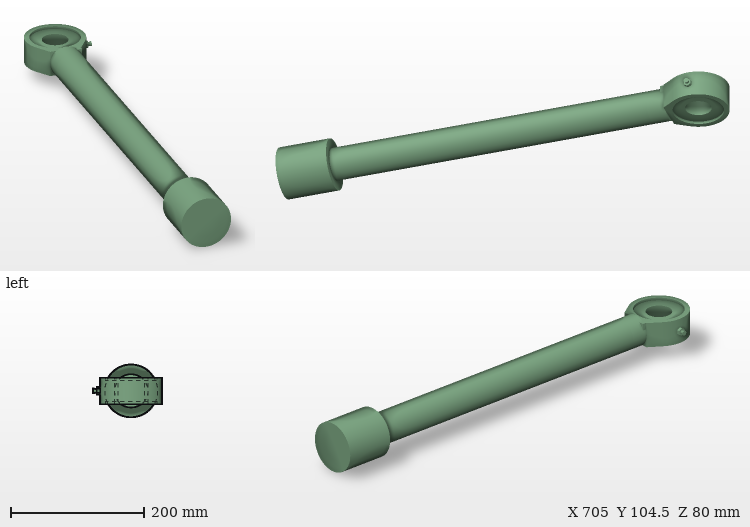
import cadquery as cq
import math

total_length = 705.0
eye_diameter = 94.0
eye_radius = eye_diameter / 2
eye_thickness = 40.0
bore_diameter = 40.0
recess_diameter = 77.5
recess_depth = 4.0

rod_diameter = 50.0
rod_radius = rod_diameter / 2
stub_start = eye_radius
stub_length = 27.5
stub_end = stub_start + stub_length

collar_diameter = 80.0
collar_length = 80.5
rod_end = total_length - eye_radius
rod_length = rod_end - stub_end

nipple_height = 10.5
nipple_embed = 2.0
nipple_hex_height = 5.0
nipple_hex_flats = 10.5
hex_half_angle = 30
nipple_neck_diameter = 5.5
nipple_tip_diameter = 8.0

tab_length = 6.0
tab_inner_y = 15.5
tab_outer_y = 23.0
tab_top = eye_thickness / 2



def x_cylinder(start, length, diameter):
    """Cylinder along the rod axis."""
    return cq.Workplane("YZ").workplane(offset=start).circle(diameter / 2).extrude(length)


def make_eye_plate():
    """Round eye with flanks running tangentially to the corners of its flat back face."""
    corner_angle = math.atan2(rod_radius, stub_start)
    corner_distance = math.hypot(stub_start, rod_radius)
    tangent_angle = corner_angle + math.acos(eye_radius / corner_distance)
    tangent_x = eye_radius * math.cos(tangent_angle)
    tangent_y = eye_radius * math.sin(tangent_angle)
    return (
        cq.Workplane("XY")
        .workplane(offset=-eye_thickness / 2)
        .moveTo(stub_start, -rod_radius)
        .lineTo(stub_start, rod_radius)
        .lineTo(tangent_x, tangent_y)
        .threePointArc((-eye_radius, 0), (tangent_x, -tangent_y))
        .close()
        .extrude(eye_thickness)
    )


def cut_eye_openings(eye):
    """Through bore with a shallow round recess in both faces."""
    bore = cq.Workplane("XY").circle(bore_diameter / 2).extrude(eye_thickness, both=True)
    eye = eye.cut(bore)
    for side in (-1, 1):
        floor = side * (eye_thickness / 2 - recess_depth)
        recess = (
            cq.Workplane("XY")
            .workplane(offset=floor)
            .circle(recess_diameter / 2)
            .extrude(side * recess_depth)
        )
        eye = eye.cut(recess)
    return eye


def make_nipple():
    """Hexagonal base with two flats facing along X, and a tip that widens outward along +Y."""
    hex_corners = nipple_hex_flats / math.cos(math.radians(hex_half_angle))
    root_y = eye_radius - nipple_embed
    base = (
        cq.Workplane("XZ", origin=(0, root_y, 0))
        .transformed(rotate=(0, 0, hex_half_angle))
        .polygon(6, hex_corners)
        .extrude(-(nipple_embed + nipple_hex_height))
    )
    tip_height = nipple_height - nipple_hex_height
    tip = cq.Workplane(
        cq.Solid.makeCone(
            nipple_neck_diameter / 2,
            nipple_tip_diameter / 2,
            tip_height,
            pnt=cq.Vector(0, eye_radius + nipple_hex_height, 0),
            dir=cq.Vector(0, 1, 0),
        )
    )
    return base.union(tip)


def make_tab():
    """Rectangular tab rising from the stub to the level of the eye face."""
    return cq.Workplane("XY").box(
        tab_length, tab_outer_y - tab_inner_y, tab_top, centered=False
    ).translate((stub_start, tab_inner_y, 0))


def make_rod_eye():
    eye = cut_eye_openings(make_eye_plate())
    stub = x_cylinder(stub_start, stub_length, rod_diameter)
    return eye.union(stub).union(make_nipple()).union(make_tab())


def make_rod():
    """Plain rod with a thick collar at its far end."""
    shaft = x_cylinder(stub_end, rod_length, rod_diameter)
    collar = x_cylinder(rod_end - collar_length, collar_length, collar_diameter)
    return shaft.union(collar)


rod_eye = make_rod_eye()
rod = make_rod()
result = cq.Compound.makeCompound([rod_eye.val(), rod.val()])